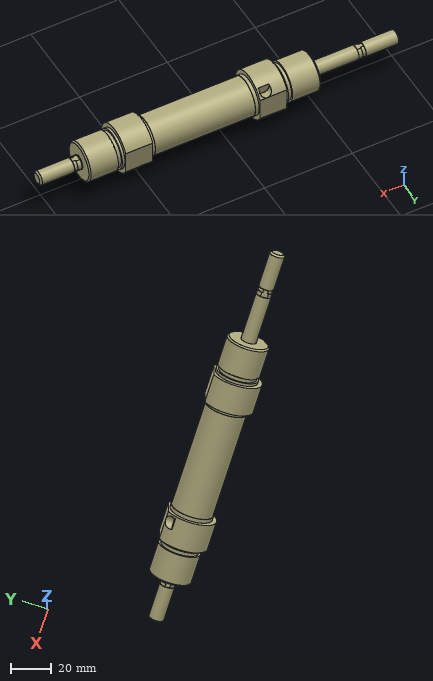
import cadquery as cq

LENGTH = 205.0
LEFT_END = -LENGTH / 2
RIGHT_END = LENGTH / 2

ROD_DIAMETER = 8.0
TIP_CHAMFER = 1.0
THREAD_LENGTH = 19.5
RELIEF_DIAMETER = 7.4
RELIEF_WIDTH = 1.8
LAND_DIAMETER = 7.8
LAND_WIDTH = 2.3
FLATS_ACROSS = 7.0

LEFT_CAP_INSET = 49.0
RIGHT_CAP_INSET = 24.0
NOSE_DIAMETER = 22.1
NOSE_LENGTH = 16.5
NOSE_CHAMFER = 0.8
GROOVE_DIAMETER = 19.9
GROOVE_WIDTH = 2.3
SHOULDER_WIDTH = 1.5
COLLAR_DIAMETER = 27.0
COLLAR_LENGTH = 15.4
COLLAR_FLAT = 11.9
LIP_LENGTH = 2.0
CAP_LENGTH = NOSE_LENGTH + GROOVE_WIDTH + SHOULDER_WIDTH + COLLAR_LENGTH + LIP_LENGTH

PORT_DIAMETER = 6.4
PORT_DEPTH = 4.0
PORT_HEIGHT = 9.6
PORT_TO_LIP = 4.3

TUBE_DIAMETER = 21.7


def cylinder(start_x, diameter, length):
    return cq.Workplane("YZ", origin=(start_x, 0, 0)).circle(diameter / 2).extrude(length)


def bored(body, start_x, length):
    """Cut the through bore for the rod."""
    return body.cut(cylinder(start_x, ROD_DIAMETER, length))


def make_rod_neck(start_x, inward):
    """Relief and land with wrench flats; start_x is the thread end, inward the X direction into the rod."""
    land_x = start_x + inward * RELIEF_WIDTH
    neck_width = RELIEF_WIDTH + LAND_WIDTH
    round_neck = cylinder(start_x, RELIEF_DIAMETER, inward * RELIEF_WIDTH).union(
        cylinder(land_x, LAND_DIAMETER, inward * LAND_WIDTH)
    )
    between_flats = (
        cq.Workplane("XY")
        .box(neck_width, ROD_DIAMETER, FLATS_ACROSS)
        .translate((start_x + inward * neck_width / 2, 0, 0))
    )
    return round_neck.intersect(between_flats)


def make_rod():
    rod = cylinder(LEFT_END, ROD_DIAMETER, LENGTH).faces("<X or >X").chamfer(TIP_CHAMFER)
    for tip_x, inward in ((LEFT_END, 1), (RIGHT_END, -1)):
        neck_x = tip_x + inward * THREAD_LENGTH
        full_neck = cylinder(neck_x, ROD_DIAMETER, inward * (RELIEF_WIDTH + LAND_WIDTH))
        rod = rod.cut(full_neck.cut(make_rod_neck(neck_x, inward)))
    return rod


def make_cap():
    """End cap with its outer face at X = 0, reaching toward +X."""
    groove_x = NOSE_LENGTH
    shoulder_x = groove_x + GROOVE_WIDTH
    collar_x = shoulder_x + SHOULDER_WIDTH
    lip_x = collar_x + COLLAR_LENGTH

    nose = cylinder(0, NOSE_DIAMETER, NOSE_LENGTH).faces("<X").chamfer(NOSE_CHAMFER)
    groove_floor = cylinder(groove_x, GROOVE_DIAMETER, GROOVE_WIDTH)
    shoulder = cylinder(shoulder_x, NOSE_DIAMETER, SHOULDER_WIDTH)
    lip = cylinder(lip_x, NOSE_DIAMETER, LIP_LENGTH)

    collar_radius = COLLAR_DIAMETER / 2
    kept_width = collar_radius + COLLAR_FLAT
    kept_side = (
        cq.Workplane("XY")
        .box(COLLAR_LENGTH, kept_width, COLLAR_DIAMETER, centered=(False, False, True))
        .translate((collar_x, -collar_radius, 0))
    )
    collar = cylinder(collar_x, COLLAR_DIAMETER, COLLAR_LENGTH).intersect(kept_side)

    port_floor = cq.Vector(lip_x - PORT_TO_LIP, COLLAR_FLAT - PORT_DEPTH, PORT_HEIGHT)
    port = cq.Solid.makeCylinder(PORT_DIAMETER / 2, PORT_DEPTH, port_floor, cq.Vector(0, 1, 0))

    cap = nose.union(groove_floor).union(shoulder).union(collar).union(lip).cut(cq.Workplane(port))
    return bored(cap, 0, CAP_LENGTH)


def make_tube(start_x, end_x):
    length = end_x - start_x
    return bored(cylinder(start_x, TUBE_DIAMETER, length), start_x, length)


left_cap_x = LEFT_END + LEFT_CAP_INSET
right_cap_x = RIGHT_END - RIGHT_CAP_INSET
caps = []
for face_x, turn in ((left_cap_x, 0), (right_cap_x, 180)):
    cap = make_cap().rotate((0, 0, 0), (0, 1, 0), turn).translate((face_x, 0, 0))
    caps.append(cap.val())

rod = make_rod()
tube = make_tube(left_cap_x + CAP_LENGTH, right_cap_x - CAP_LENGTH)

result = cq.Compound.makeCompound([rod.val(), tube.val(), *caps])